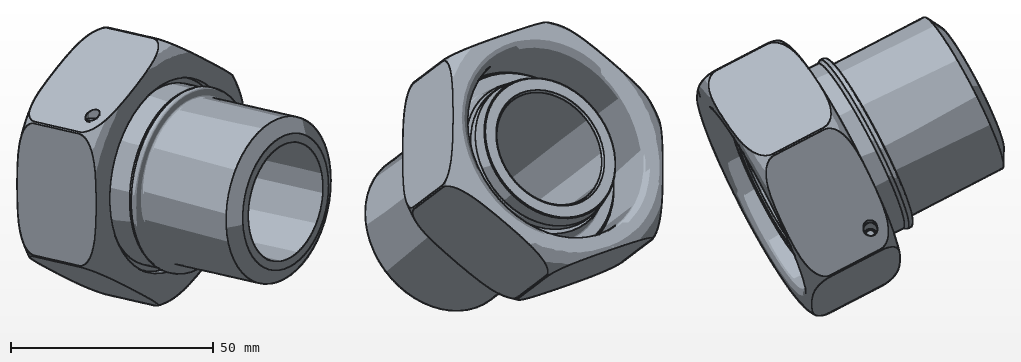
import cadquery as cq
import math


NUT_LENGTH = 25.0
NUT_ACROSS_FLATS = 60.0
NUT_TURNED_DIA = 69.0
NUT_CORNER_RADIUS = 5.5
NUT_BORE_DIA = 50.0
NUT_REAR_BORE_DIA = 49.25
NUT_MOUTH_DIA = 54.0
NUT_MOUTH_SLOPE = math.radians(30.0)
NUT_FACE_FILLET = 2.4
NUT_BORE_FILLET = 1.1
NUT_STEP_X = 15.5

TIP_X = 3.9
TIP_DIA = 37.5
TIP_CHAMFER = 0.2
CONE_SLOPE = math.tan(math.radians(12.0))
CONE_LAND = 3.4
CONE_ROOT_FILLET = 0.7
BORE_DIA = 30.0
BORE_CHAMFER = 0.5

SEAL_GROOVE_DIA = 32.5
SEAL_SECTION_DIA = 3.3
SEAL_X = TIP_X + CONE_LAND + SEAL_SECTION_DIA / 2

COLLAR_X = 14.35
COLLAR_DIA = 48.95
COLLAR_CHAMFER = 0.25
COLLAR_END_X = 23.0
NECK_DIA = 45.95
BEAD_DIA = 47.05
BEAD_RAMP_ANGLE = math.radians(30.0)
BEAD_RAMP_X = 29.9
BEAD_END_X = 32.2
BEAD_FILLET = 0.6
TAIL_FILLET = 0.6
TAIL_DIA = 42.2
TAIL_END_DIA = 34.5
TAIL_BEVEL_ANGLE = math.radians(30.0)
TAIL_END_X = 60.9

WIRE_DIA = 3.35
WIRE_X = 19.5
WIRE_RING_RADIUS = 24.5
WIRE_RING_ANGLE = 330.0
WIRE_LEG_END_Z = 14.0
WIRE_END_CHAMFER = 0.5
WIRE_ENTRY_DIA = 3.54
WIRE_ENTRY_BOTTOM_Z = 19.2

SELECTION_MARGIN = 0.1


def revolve_about_x(profile):
    """Turn a closed XY profile (X axial, Y radial) a full turn about the X axis."""
    return profile.close().revolve(360, (0, 0, 0), (1, 0, 0))


def cylinder_x(diameter, start, end):
    """Cylinder on the X axis."""
    return cq.Workplane("YZ", origin=(start, 0, 0)).circle(diameter / 2).extrude(end - start)


def cylinder_z(diameter, bottom, top):
    """Cylinder on the axis of the wire leg, tangent to the wire ring."""
    base = cq.Workplane("XY", origin=(WIRE_X, -WIRE_RING_RADIUS, bottom))
    return base.circle(diameter / 2).extrude(top - bottom)


def torus_x(ring_radius, section_dia, x, angle=360.0):
    """Ring about the X axis, starting on the -Y side and turning toward -Z."""
    section = cq.Workplane("XY").center(x, -ring_radius).circle(section_dia / 2)
    return section.revolve(angle, (-x, ring_radius, 0), (1 - x, ring_radius, 0))


def make_nut():
    """Hexagon nut with rounded-off corners, a stepped bore and a wire entry hole."""
    corner_dia = NUT_ACROSS_FLATS / math.cos(math.pi / 6)
    hexagon = cq.Workplane("YZ").polygon(6, corner_dia).extrude(NUT_LENGTH)
    hexagon = hexagon.rotate((0, 0, 0), (1, 0, 0), 90)
    turned = cylinder_x(NUT_TURNED_DIA, 0, NUT_LENGTH).edges("%CIRCLE").fillet(NUT_CORNER_RADIUS)
    nut = hexagon.intersect(turned)

    mouth_radius = NUT_MOUTH_DIA / 2
    bore_radius = NUT_BORE_DIA / 2
    mouth_depth = (mouth_radius - bore_radius) * math.tan(NUT_MOUTH_SLOPE)
    face_tangent = NUT_FACE_FILLET * math.tan(NUT_MOUTH_SLOPE / 2)
    bore_tangent = NUT_BORE_FILLET * math.tan((math.pi / 2 - NUT_MOUTH_SLOPE) / 2)
    axial = math.sin(NUT_MOUTH_SLOPE)
    radial = math.cos(NUT_MOUTH_SLOPE)
    bore = revolve_about_x(
        cq.Workplane("XY")
        .moveTo(0, 0)
        .lineTo(0, mouth_radius + face_tangent)
        .radiusArc((face_tangent * axial, mouth_radius - face_tangent * radial), -NUT_FACE_FILLET)
        .lineTo(mouth_depth - bore_tangent * axial, bore_radius + bore_tangent * radial)
        .radiusArc((mouth_depth + bore_tangent, bore_radius), -NUT_BORE_FILLET)
        .lineTo(NUT_STEP_X, bore_radius)
        .lineTo(NUT_STEP_X, NUT_REAR_BORE_DIA / 2)
        .lineTo(NUT_LENGTH, NUT_REAR_BORE_DIA / 2)
        .lineTo(NUT_LENGTH, 0)
    )
    nut = nut.cut(bore)

    nut = nut.cut(torus_x(WIRE_RING_RADIUS, WIRE_DIA, WIRE_X))
    nut = nut.cut(cylinder_z(WIRE_DIA, 0, NUT_TURNED_DIA / 2))
    return nut.cut(cylinder_z(WIRE_ENTRY_DIA, WIRE_ENTRY_BOTTOM_Z, NUT_TURNED_DIA / 2))


def make_nipple():
    """Bored nipple: sealing cone, collar inside the nut, neck, bead and bevelled weld tail."""
    tip_radius = TIP_DIA / 2
    bead_radius = BEAD_DIA / 2
    tail_radius = TAIL_DIA / 2
    cone_root_radius = tip_radius + (COLLAR_X - TIP_X) * CONE_SLOPE
    ramp_length = (BEAD_DIA - NECK_DIA) / 2 / math.tan(BEAD_RAMP_ANGLE)
    bevel_length = (TAIL_DIA - TAIL_END_DIA) / 2 * math.tan(TAIL_BEVEL_ANGLE)
    nipple = revolve_about_x(
        cq.Workplane("XY")
        .moveTo(TIP_X, BORE_DIA / 2 + BORE_CHAMFER)
        .lineTo(TIP_X, tip_radius - TIP_CHAMFER)
        .lineTo(TIP_X + TIP_CHAMFER, tip_radius + TIP_CHAMFER * CONE_SLOPE)
        .lineTo(COLLAR_X, cone_root_radius)
        .lineTo(COLLAR_X, COLLAR_DIA / 2 - COLLAR_CHAMFER)
        .lineTo(COLLAR_X + COLLAR_CHAMFER, COLLAR_DIA / 2)
        .lineTo(COLLAR_END_X, COLLAR_DIA / 2)
        .lineTo(COLLAR_END_X, NECK_DIA / 2)
        .lineTo(BEAD_RAMP_X, NECK_DIA / 2)
        .lineTo(BEAD_RAMP_X + ramp_length, bead_radius)
        .lineTo(BEAD_END_X - BEAD_FILLET, bead_radius)
        .radiusArc((BEAD_END_X, bead_radius - BEAD_FILLET), BEAD_FILLET)
        .lineTo(BEAD_END_X, tail_radius + TAIL_FILLET)
        .radiusArc((BEAD_END_X + TAIL_FILLET, tail_radius), -TAIL_FILLET)
        .lineTo(TAIL_END_X - bevel_length, tail_radius)
        .lineTo(TAIL_END_X, TAIL_END_DIA / 2)
        .lineTo(TAIL_END_X, BORE_DIA / 2)
        .lineTo(TIP_X + BORE_CHAMFER, BORE_DIA / 2)
    )
    box_radius = cone_root_radius + SELECTION_MARGIN
    cone_root = cq.selectors.BoxSelector(
        (COLLAR_X - SELECTION_MARGIN, -box_radius, -box_radius),
        (COLLAR_X + SELECTION_MARGIN, box_radius, box_radius),
        boundingbox=True,
    )
    nipple = nipple.edges(cone_root).fillet(CONE_ROOT_FILLET)

    groove_start = SEAL_X - SEAL_SECTION_DIA / 2
    groove_end = SEAL_X + SEAL_SECTION_DIA / 2
    groove = cylinder_x(COLLAR_DIA, groove_start, groove_end)
    groove = groove.cut(cylinder_x(SEAL_GROOVE_DIA, groove_start, groove_end))
    nipple = nipple.cut(groove)

    nipple = nipple.cut(torus_x(WIRE_RING_RADIUS, WIRE_DIA, WIRE_X))
    return nipple.cut(cylinder_z(WIRE_DIA, 0, WIRE_LEG_END_Z))


def make_seal():
    """O-ring resting on the floor and between the walls of its groove."""
    return torus_x((SEAL_GROOVE_DIA + SEAL_SECTION_DIA) / 2, SEAL_SECTION_DIA, SEAL_X)


def make_wire():
    """Round wire bent into an open ring, with a straight leg up into the entry hole."""
    ring = torus_x(WIRE_RING_RADIUS, WIRE_DIA, WIRE_X, WIRE_RING_ANGLE)
    leg = cylinder_z(WIRE_DIA, 0, WIRE_LEG_END_Z).faces(">Z").chamfer(WIRE_END_CHAMFER)
    return ring.union(leg)


nut = make_nut()
nipple = make_nipple()
seal = make_seal()
wire = make_wire()

result = cq.Compound.makeCompound([nut.val(), nipple.val(), seal.val(), wire.val()])